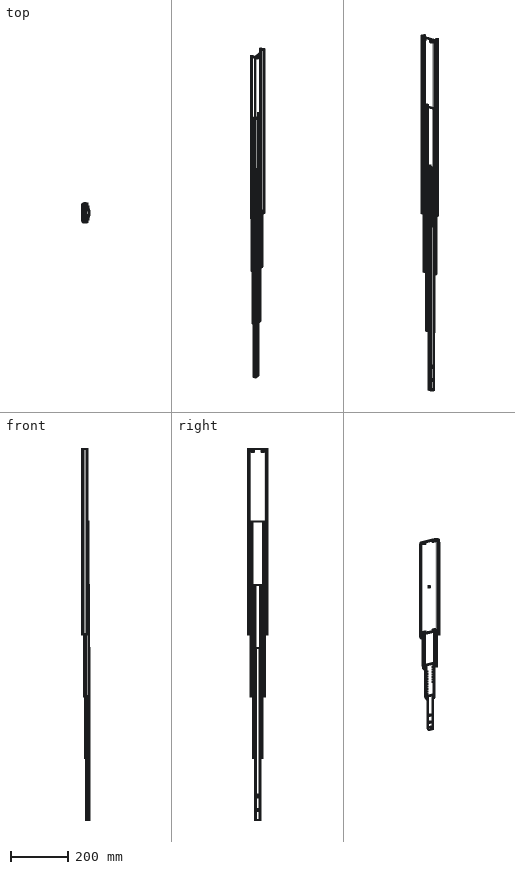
import cadquery as cq

housing_length = 650.0
stroke_per_stage = housing_length / 3
housing_bottom = 3 * stroke_per_stage
total_depth = 25.2
total_width = 68.53

housing_wall = 3.0
housing_depth = 19.0
housing_web_half_width = 25.0
race_crest_y = total_width / 2
race_height = 1.9
race_start_x = 4.2
race_end_x = 15.6
lip_y = race_crest_y - race_height

hole_diameter = 5.0
corner_slot_length = 9.0
corner_slot_y = 17.6
corner_slot_end_distance = 8.0

member_web = 2.0
member_flange_drop = 4.0
outer_member_length = 612.0
outer_member_flange = [(6.0, 24.3), (14.0, 26.0), (22.0, 22.5)]
inner_member_length = 607.0
inner_member_flange = [(10.0, 16.3), (16.8, 16.3), (24.2, 12.0)]

bar_length = 603.0
bar_back_x = 14.2
bar_half_width = 9.0
bar_bevel_start_x = 21.5
bar_front_half_width = 7.0
bar_slot_length = 8.0
bar_slot_z = 84.0
bar_hole_z = 35.0


def extrude_symmetric(half_profile, bottom, length):
    """Extrude a closed half profile (y >= 0) and join it to its mirror image."""
    half = half_profile.extrude(length).translate((0, 0, bottom))
    return half.union(half.mirror("XZ"))


def yz_sketch():
    """Workplane on x = 0 with local axes Y and Z, extruding toward +X."""
    return cq.Workplane("YZ")


def make_housing():
    inner_lip_y = lip_y - housing_wall
    race_middle_x = (race_start_x + race_end_x) / 2
    profile = (
        cq.Workplane("XY")
        .lineTo(0, housing_web_half_width)
        .tangentArcPoint((race_start_x, lip_y), relative=False)
        .threePointArc((race_middle_x, race_crest_y), (race_end_x, lip_y))
        .lineTo(housing_depth, lip_y)
        .lineTo(housing_depth, inner_lip_y)
        .lineTo(race_end_x, inner_lip_y)
        .threePointArc((race_middle_x, race_crest_y - housing_wall), (race_start_x, inner_lip_y))
        .lineTo(housing_wall, housing_web_half_width)
        .lineTo(housing_wall, 0)
        .close()
    )
    body = extrude_symmetric(profile, housing_bottom, housing_length)

    middle_z = housing_bottom + housing_length / 2
    slot_z_offset = housing_length / 2 - corner_slot_end_distance
    slot_centres = [
        (side * corner_slot_y, middle_z + end * slot_z_offset)
        for side in (-1, 1)
        for end in (-1, 1)
    ]
    slots = yz_sketch().pushPoints(slot_centres).slot2D(corner_slot_length, hole_diameter)
    centre_hole = yz_sketch().center(0, middle_z).circle(hole_diameter / 2)
    return body.cut(slots.extrude(housing_wall)).cut(centre_hole.extrude(housing_wall))


def make_channel_member(flange, bottom, length):
    """Channel whose flange follows the given outside points."""
    back_x = flange[0][0]
    inside = [(x, y - member_flange_drop) for x, y in reversed(flange[1:])]
    inside_corner = (back_x + member_web, flange[0][1] - member_flange_drop)
    profile = (
        cq.Workplane("XY")
        .polyline([
            (back_x, 0),
            *flange,
            *inside,
            inside_corner,
            (back_x + member_web, 0),
        ])
        .close()
    )
    return extrude_symmetric(profile, bottom, length)


def make_bar():
    profile = (
        cq.Workplane("XY")
        .polyline([
            (bar_back_x, 0),
            (bar_back_x, bar_half_width),
            (bar_bevel_start_x, bar_half_width),
            (total_depth, bar_front_half_width),
            (total_depth, 0),
        ])
        .close()
    )
    body = extrude_symmetric(profile, 0, bar_length)
    slot = yz_sketch().center(0, bar_slot_z).slot2D(bar_slot_length, hole_diameter, 90)
    hole = yz_sketch().center(0, bar_hole_z).circle(hole_diameter / 2)
    return body.cut(slot.extrude(total_depth)).cut(hole.extrude(total_depth))


housing = make_housing()
outer_member = make_channel_member(outer_member_flange, 2 * stroke_per_stage, outer_member_length)
inner_member = make_channel_member(inner_member_flange, stroke_per_stage, inner_member_length)
bar = make_bar()

result = cq.Compound.makeCompound(
    [housing.val(), outer_member.val(), inner_member.val(), bar.val()]
)